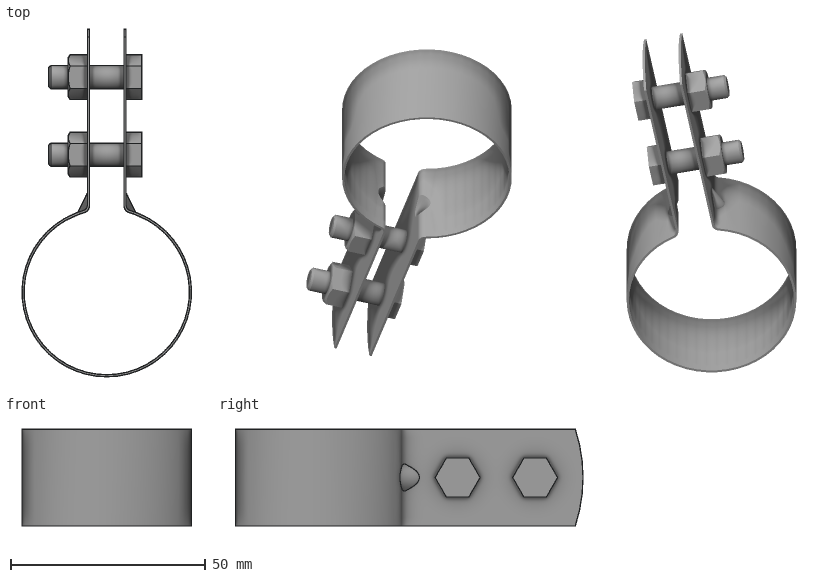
import cadquery as cq
import math

THICKNESS = 0.6
HEIGHT = 25.0
RING_RADIUS = 21.9
LEG_HALF_SPAN = 5.0
TOTAL_LENGTH = 89.6
LEG_END = TOTAL_LENGTH - RING_RADIUS
LEG_END_RADIUS = 40.0
BEND_RADIUS = 1.3

GUSSET_INNER_DIAMETER = 7.0
GUSSET_RADIUS = GUSSET_INNER_DIAMETER / 2 + THICKNESS
GUSSET_FLANK_ANGLE = 36
GUSSET_SLOPE = 26
GUSSET_TOP = 25.55
GUSSET_DEPTH = 4.5
GUSSET_REACH = 9.0

BOLT_DIAMETER = 6.0
BOLT_TIP_DIAMETER = 4.9
BOLT_LENGTH = 20.0
HEAD_HEIGHT = 4.0
NUT_HEIGHT = 5.0
ACROSS_FLATS = 10.0
ACROSS_CORNERS = ACROSS_FLATS / math.cos(math.radians(30))
NUT_FACE_DIAMETER = 9.6
NUT_CHAMFER_ANGLE = 30
BOLT_PITCH = 20.0
BOLT_COUNT = 2
END_TO_BOLT = 12.4
FIRST_BOLT_Y = LEG_END - END_TO_BOLT
BOLT_POSITIONS = [FIRST_BOLT_Y - i * BOLT_PITCH for i in range(BOLT_COUNT)]

BEND_X = LEG_HALF_SPAN + BEND_RADIUS
BEND_Y = math.sqrt((RING_RADIUS + BEND_RADIUS) ** 2 - BEND_X ** 2)


def envelope(inset):
    """Solid bounded by the outside faces of the strap, moved inwards by inset."""
    ring_radius = RING_RADIUS - inset
    leg_x = LEG_HALF_SPAN - inset
    bend_radius = BEND_RADIUS + inset
    to_bend = math.hypot(BEND_X, BEND_Y)
    ring_x = BEND_X * ring_radius / to_bend
    ring_y = BEND_Y * ring_radius / to_bend
    mid_angle = (math.pi + math.atan2(BEND_Y, BEND_X) + math.pi) / 2
    mid_x = BEND_X + bend_radius * math.cos(mid_angle)
    mid_y = BEND_Y + bend_radius * math.sin(mid_angle)
    return (
        cq.Workplane("XY")
        .workplane(offset=-HEIGHT / 2)
        .moveTo(leg_x, LEG_END)
        .lineTo(leg_x, BEND_Y)
        .threePointArc((mid_x, mid_y), (ring_x, ring_y))
        .threePointArc((0, -ring_radius), (-ring_x, ring_y))
        .threePointArc((-mid_x, mid_y), (-leg_x, BEND_Y))
        .lineTo(-leg_x, LEG_END)
        .close()
        .extrude(HEIGHT)
    )


def gusset_form(inset):
    """Sloping bar with a rounded ridge and flat flanks, crossing the bend at +X."""
    slope = math.radians(GUSSET_SLOPE)
    flank = math.radians(GUSSET_FLANK_ANGLE)
    radius = GUSSET_RADIUS - inset
    tangent_z = radius * math.sin(flank)
    tangent_x = radius * math.cos(flank) - GUSSET_RADIUS
    foot_z = tangent_z + (tangent_x + GUSSET_DEPTH) / math.tan(flank)
    section = cq.Plane(
        origin=(LEG_HALF_SPAN, GUSSET_TOP, 0),
        xDir=(math.cos(slope), math.sin(slope), 0),
        normal=(math.sin(slope), -math.cos(slope), 0),
    )
    return (
        cq.Workplane(section)
        .workplane(offset=-GUSSET_REACH)
        .moveTo(-GUSSET_DEPTH, -foot_z)
        .lineTo(tangent_x, -tangent_z)
        .threePointArc((-inset, 0), (tangent_x, tangent_z))
        .lineTo(-GUSSET_DEPTH, foot_z)
        .close()
        .extrude(2 * GUSSET_REACH)
    )


def both_sides(body):
    """The body together with its mirror image on the other leg."""
    return body.union(body.mirror("YZ"))


def leg_end_trim():
    """Solid to keep: the whole ring, and the legs up to a round end about the X direction."""
    return (
        cq.Workplane("YZ")
        .center(LEG_END - LEG_END_RADIUS, 0)
        .circle(LEG_END_RADIUS)
        .extrude(RING_RADIUS, both=True)
        .union(cq.Workplane("XY").circle(2 * RING_RADIUS).extrude(HEIGHT, both=True))
    )


def make_strap():
    """Bent strap: outside shape minus the same shape moved inwards by the sheet thickness."""
    outside = envelope(0).union(both_sides(gusset_form(0)))
    inside = envelope(THICKNESS).union(both_sides(gusset_form(THICKNESS)))
    strap = outside.cut(inside).intersect(leg_end_trim())
    for y in BOLT_POSITIONS:
        bolt_hole = bolt_axis(y, -RING_RADIUS).circle(BOLT_DIAMETER / 2).extrude(2 * RING_RADIUS)
        strap = strap.cut(bolt_hole)
    return strap.solids()


def bolt_axis(y, x):
    """Workplane facing +X, centred on the bolt axis at the given x."""
    return cq.Workplane("YZ", origin=(x, y, 0))


def make_bolt(y):
    """Hexagon bolt with its head against the +X leg and a chamfered tip beyond the nut."""
    tip_x = LEG_HALF_SPAN - BOLT_LENGTH
    tip_chamfer = (BOLT_DIAMETER - BOLT_TIP_DIAMETER) / 2
    shank = bolt_axis(y, tip_x).circle(BOLT_DIAMETER / 2).extrude(BOLT_LENGTH)
    shank = shank.faces("<X").chamfer(tip_chamfer)
    head = bolt_axis(y, LEG_HALF_SPAN).polygon(6, ACROSS_CORNERS).extrude(HEAD_HEIGHT)
    return shank.union(head).solids()


def make_nut(y):
    """Hexagon nut against the -X leg, chamfered on its outer face."""
    face_x = -LEG_HALF_SPAN - NUT_HEIGHT
    hexagon = bolt_axis(y, face_x).polygon(6, ACROSS_CORNERS).extrude(NUT_HEIGHT)
    cone_radius = NUT_FACE_DIAMETER / 2 + NUT_HEIGHT / math.tan(math.radians(NUT_CHAMFER_ANGLE))
    cone = (
        bolt_axis(y, face_x)
        .circle(NUT_FACE_DIAMETER / 2)
        .workplane(offset=NUT_HEIGHT)
        .circle(cone_radius)
        .loft()
    )
    bore = bolt_axis(y, face_x).circle(BOLT_DIAMETER / 2).extrude(NUT_HEIGHT)
    return hexagon.intersect(cone).cut(bore).solids()


strap = make_strap()
bolts = [make_bolt(y) for y in BOLT_POSITIONS]
nuts = [make_nut(y) for y in BOLT_POSITIONS]

result = cq.Compound.makeCompound([
    strap.val(),
    *[bolt.val() for bolt in bolts],
    *[nut.val() for nut in nuts],
])